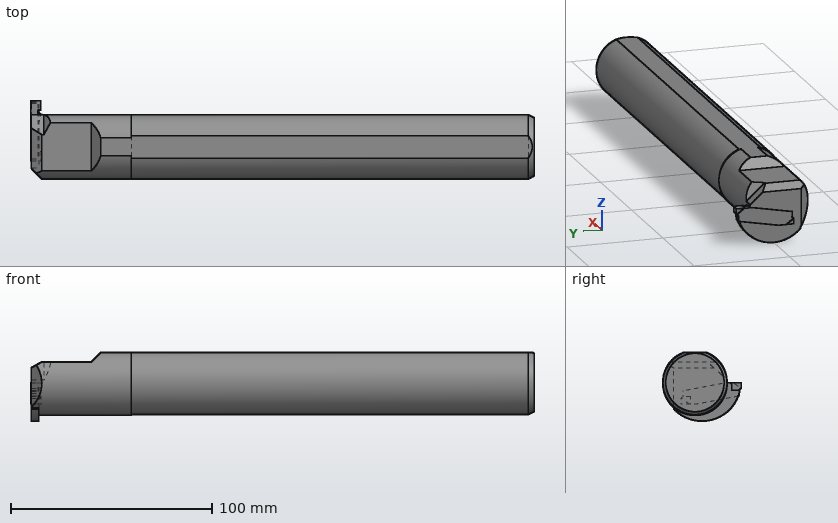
import cadquery as cq
import math

total_length = 250.0
shank_radius = 16.0
flat_height = 15.0
rear_chamfer_length = 3.0
rear_chamfer_depth = 1.5

holder_setback = 0.2

neck_length = 50.0
neck_drop = 0.37

step_height = 10.2
step_end = 30.0
nose_length = 5.5
nose_height = 7.2
nose_side_y = -10.5

blade_offset_y = 3.5
blade_radius = 19.2
blade_thickness = 4.0
blade_fillet = 1.7

gullet_start_y = 17.5
gullet_angle = 42.0
gullet_floor_width = 6.5
gullet_wall_angle = 40.0
gullet_size = 30.0

tip_y = 23.0
insert_center_y = 8.0
insert_center_z = -5.2
tip_width = 5.0
tip_length = 4.7
insert_thickness = 3.5
tip_height = 2.7
tip_setback = 1.0
rake_length = 8.0
waist_height = 6.5
facet_length = 4.0
facet_drop = 3.0
facet_depth = 0.2


def x_cylinder(radius, start, length, y=0.0, z=0.0):
    """Cylinder along X."""
    return cq.Workplane("YZ", origin=(start, y, z)).circle(radius).extrude(length)


def half_turn(points):
    """Points turned by 180 degrees about the insert centre, in the YZ plane."""
    return [(2 * insert_center_y - y, 2 * insert_center_z - z) for y, z in points]


def make_shank():
    shank = x_cylinder(shank_radius, neck_length, total_length - neck_length)
    return shank.faces(">X").chamfer(rear_chamfer_length, rear_chamfer_depth)


def make_head():
    """Neck with the blade disc at its end and a fillet in the corner between them."""
    neck = x_cylinder(shank_radius, 0, neck_length, z=-neck_drop)
    fillet_end = blade_thickness + blade_fillet
    root_radius = shank_radius - blade_offset_y
    flare = (
        cq.Workplane("XY")
        .moveTo(0, 0)
        .lineTo(0, blade_radius)
        .lineTo(blade_thickness, blade_radius)
        .lineTo(blade_thickness, root_radius + blade_fillet)
        .radiusArc((fillet_end, root_radius), -blade_fillet)
        .lineTo(fillet_end, 0)
        .close()
        .revolve(360, (0, 0), (1, 0))
        .translate((0, blade_offset_y, 0))
    )
    blade_side = cq.Workplane("XY").box(
        fillet_end, 2 * blade_radius, 2 * blade_radius, centered=(False, False, False)
    ).translate((0, nose_side_y, -2 * blade_radius))
    return neck.union(flare.intersect(blade_side))


def face_cutter():
    """Sets the end of the holder behind the face of the insert."""
    return x_cylinder(2 * blade_radius, 0, holder_setback)


def top_cutter():
    """Everything above the flat, the step with its ramp, and the nose bevel."""
    ramp_end = step_end + flat_height - step_height
    clear = 2 * blade_radius
    profile = [
        (0, nose_height),
        (nose_length, step_height),
        (step_end, step_height),
        (ramp_end, flat_height),
        (total_length, flat_height),
        (total_length, clear),
        (0, clear),
    ]
    return cq.Workplane("XZ").polyline(profile).close().extrude(clear, both=True)


def side_cutter():
    """Bevel at the side of the cutting face opposite the insert tip."""
    outer_y = nose_side_y - 2 * nose_length
    profile = [(0, nose_side_y), (2 * nose_length, outer_y), (0, outer_y)]
    return cq.Workplane("XY").polyline(profile).close().extrude(2 * blade_radius, both=True)


def gullet_cutter():
    wall_run = gullet_size * math.tan(math.radians(gullet_wall_angle))
    profile = [
        (0, 0),
        (gullet_floor_width, 0),
        (gullet_floor_width + wall_run, gullet_size),
        (0, gullet_size),
    ]
    groove = cq.Workplane("XZ").polyline(profile).close().extrude(gullet_size, both=True)
    return groove.rotate((0, 0, 0), (1, 0, 0), -gullet_angle).translate((0, gullet_start_y, 0))


def make_insert():
    half_outline = [
        (tip_y - rake_length, 0),
        (tip_y, 0),
        (tip_y, -tip_height),
        (tip_y - tip_setback, -tip_height - tip_setback),
        (tip_y - tip_setback, -waist_height),
    ]
    outline = half_outline + half_turn(half_outline)
    insert = cq.Workplane("YZ").polyline(outline).close().extrude(insert_thickness)

    tip = [
        (tip_y - tip_length, 0),
        (tip_y, 0),
        (tip_y, -tip_height),
        (tip_y - tip_setback, -tip_height - tip_setback),
        (tip_y - tip_length, -tip_height - tip_setback),
    ]
    facet = [(tip_y, 0), (tip_y, -facet_drop), (tip_y - facet_length, 0)]
    for corner in (tip, half_turn(tip)):
        insert = insert.union(cq.Workplane("YZ").polyline(corner).close().extrude(tip_width))
    for corner in (facet, half_turn(facet)):
        insert = insert.cut(cq.Workplane("YZ").polyline(corner).close().extrude(facet_depth))
    return insert


insert = make_insert()
holder = make_shank().union(make_head())
for cutter in (face_cutter(), top_cutter(), side_cutter(), gullet_cutter(), insert):
    holder = holder.cut(cutter)

result = cq.Compound.makeCompound([holder.val(), insert.val()])